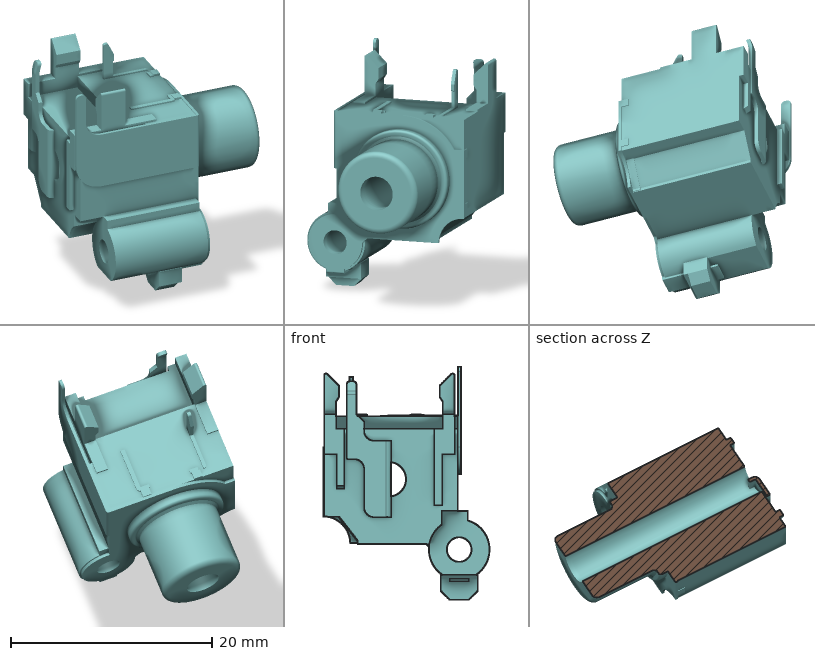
import cadquery as cq
import math


HOUSING_LEFT = -6.42
HOUSING_RIGHT = 6.87
HOUSING_TOP = 6.26
HOUSING_BOTTOM = -6.43
HOUSING_FRONT = -12.45
LEFT_SIDE_BOTTOM = -3.70
CHAMFER_TOP_X = -4.94
CHAMFER_END_X = -3.08
CHAMFER_END_Z = -6.09
STEP_Y = -7.63
LEDGE_Z = 4.99
SIDE_STEP_Y = -5.36

BARREL_R = 4.15
BARREL_END = 8.20
BARREL_END_FILLET = 0.55
FLANGE_R = 5.0
FLANGE_END = 1.22
FLANGE_FILLET = 0.25
BORE_R = 1.70

RAIL_WIDTH = 1.19
RAIL_CENTRE_X = 0.06
RAIL_TOP = 6.47
RAIL_BACK = -4.10
RAIL_FRONT = -12.94
RAIL_BOTTOM = 2.49
RIB_INNER = 2.02
RIB_OUTER = 1.25
LEFT_RIB_BOTTOM = -0.92
LEFT_RIB_SLOPE = 0.27
RIGHT_RIB_BOTTOM = -2.57
LATCH_BACK = -7.44
LATCH_FRONT = -10.02
LATCH_TOP = 10.50
LATCH_TIP_R = 0.20
LATCH_BARB = 1.50
BARB_BOTTOM = 8.17
LATCH_NECK_TOP = 7.70

SHEET = 0.30
SHELL_BEND_R = 0.28
SHELL_LEFT = -6.49
SHELL_TOP = 6.33
SHELL_BOTTOM = -6.35
SHELL_SHOULDER_Z = 3.20
CORNER_ARC_R = LEFT_SIDE_BOTTOM - SHELL_BOTTOM
CLIP_DEPTH = 0.78
CLIP_HEIGHT = 0.88
CLIP_TOPS = (SHELL_SHOULDER_Z, -2.29)
SIDE_BOTTOM = 0.52
SIDE_FRONT = -13.0
SIDE_CORNER_R = 2.70
PIN_BACK = -11.97
PIN_TOP = 11.17
PIN_TIP_FILLET = 0.45
PIN_ROOT_R = 1.65

SLEEVE_X = 6.99
SLEEVE_Z = -6.98
SLEEVE_R = 3.02
SLEEVE_HOLE_R = 1.21
SLEEVE_FRONT = -9.95
NECK_LEFT = 5.27
NECK_RIGHT = 7.84
NECK_TOP = -3.13
FOOT_HALF_WIDTH = 1.85
FOOT_TOP = -9.48
FOOT_SHOULDER = -11.10
FOOT_BOTTOM = -11.98
FOOT_BACK = -2.30
FOOT_TIP_BACK = -2.78
FOOT_FRONT = -4.81
EAR_R = 2.82
EAR_GUSSET = 0.55
STRAP_HALF_WIDTH = 0.93
STRAP_TOP = -9.88
STRAP_BOTTOM = -10.12
STRAP_FRONT = -5.58
STRAP_BEND_R = 0.15

CONTACT_FRONT = -13.0
CONTACT_THICK = 0.40
STEM_LEFT = -4.19
STEM_RIGHT = -3.20
STEM_TOP = 9.74
STEM_TIP_R = 0.35
STEM_BEND_Z = 8.60
STEM_LEAN = 0.28
STEM_BEND_R = 1.40
STEM_TAPER_Z = 6.47
BLADE_LEFT = -2.45
BLADE_RIGHT = 0.23
BLADE_TOP = 3.83
BLADE_BOTTOM = -3.76
BLADE_R = 0.98
ARM_BOTTOM = 2.00
BEND_R = 0.55
ARM_CORNER_R = 0.15

TOP_STRIP_Z = 6.42
TOP_TAB_FRONT = -0.75
TOP_TAB_WIDTH = 0.90
TOP_TAB_LEFTS = (-3.15, 2.28)
CROSS_FRONT = -1.11
STRIP_FRONT = -5.50
LEFT_STRIP = (-3.91, -3.55)
LEFT_CROSS = (-3.03, -2.16)
RIGHT_STRIP = (3.04, 3.48)
RIGHT_CROSS_LEFT = 2.14
STRIP_CORNER_R = 0.30
TOP_PIN_BACK = -4.52
TOP_PIN_BARB_BACK = -4.38
TOP_PIN_TOP = 10.17
TOP_PIN_TIP_BACK = -5.04
TOP_PIN_BARB = (8.09, 8.17, 8.82)
TOP_PIN_TIP_FILLET = 0.18

EMBED = 0.5


def box(x0, x1, y0, y1, z0, z1):
    return cq.Workplane("XY").box(x1 - x0, y1 - y0, z1 - z0, centered=False).translate((x0, y0, z0))


def face_xz(y_back):
    """Sketch plane in X and Z; extruding from it runs toward -Y."""
    return cq.Workplane("XZ", origin=(0, y_back, 0))


def face_yz(x_left):
    """Sketch plane in Y and Z; extruding from it runs toward +X."""
    return cq.Workplane("YZ", origin=(x_left, 0, 0))


def edge_at(x, y, z):
    """Selector for the edge whose centre is at the given point."""
    reach = 0.05
    return cq.selectors.BoxSelector((x - reach, y - reach, z - reach), (x + reach, y + reach, z + reach))


def make_housing():
    outline = [
        (HOUSING_LEFT, HOUSING_TOP),
        (HOUSING_RIGHT, HOUSING_TOP),
        (HOUSING_RIGHT, HOUSING_BOTTOM),
        (CHAMFER_END_X, HOUSING_BOTTOM),
        (CHAMFER_END_X, CHAMFER_END_Z),
        (CHAMFER_TOP_X, LEFT_SIDE_BOTTOM),
        (HOUSING_LEFT, LEFT_SIDE_BOTTOM),
    ]
    body = face_xz(0).polyline(outline).close().extrude(-HOUSING_FRONT)
    ledge = box(HOUSING_LEFT, HOUSING_RIGHT, HOUSING_FRONT, STEP_Y, LEDGE_Z, HOUSING_TOP)
    rail_outer = 2 * RAIL_CENTRE_X - HOUSING_LEFT
    side_ledge = box(rail_outer, HOUSING_RIGHT, HOUSING_FRONT, SIDE_STEP_Y, LEDGE_Z, HOUSING_TOP)
    return body.cut(ledge).cut(side_ledge).cut(sleeve_outline(-HOUSING_FRONT))


def make_barrel():
    flange = face_xz(FLANGE_END).circle(FLANGE_R).extrude(FLANGE_END)
    flange = flange.faces(">Y").edges().fillet(FLANGE_FILLET)
    barrel = face_xz(BARREL_END).circle(BARREL_R).extrude(BARREL_END)
    barrel = barrel.faces(">Y").edges().fillet(BARREL_END_FILLET)
    root = face_xz(FLANGE_END + FLANGE_FILLET).circle(BARREL_R).workplane(
        offset=FLANGE_FILLET).circle(BARREL_R + FLANGE_FILLET).loft()
    return flange.union(barrel).union(root)


def make_rail(rib_bottom, rib_slope):
    """Left rail with its front rib and snap latch."""
    outer = HOUSING_LEFT
    inner = outer + RAIL_WIDTH
    rail = box(outer, inner, RAIL_FRONT, RAIL_BACK, LEDGE_Z - EMBED, RAIL_TOP)
    pad = box(outer, outer + RIB_INNER, RAIL_FRONT, HOUSING_FRONT, RAIL_BOTTOM, LEDGE_Z)
    rib_outline = [
        (HOUSING_FRONT, LEDGE_Z),
        (RAIL_FRONT, LEDGE_Z),
        (RAIL_FRONT, rib_bottom + rib_slope),
        (HOUSING_FRONT, rib_bottom),
    ]
    rib = face_yz(outer + RIB_OUTER).polyline(rib_outline).close().extrude(RIB_INNER - RIB_OUTER)
    tip_rise = LATCH_TIP_R * math.sin(math.radians(45))
    tip_end = (outer + LATCH_TIP_R + tip_rise, LATCH_TOP - LATCH_TIP_R + tip_rise)
    barb_x = outer + LATCH_BARB
    latch = (
        face_xz(LATCH_BACK)
        .moveTo(outer, LEDGE_Z)
        .lineTo(outer, LATCH_TOP - LATCH_TIP_R)
        .radiusArc(tip_end, LATCH_TIP_R)
        .lineTo(barb_x, tip_end[1] - (barb_x - tip_end[0]))
        .lineTo(barb_x, BARB_BOTTOM)
        .lineTo(inner, LATCH_NECK_TOP)
        .lineTo(inner, LEDGE_Z)
        .close()
        .extrude(LATCH_BACK - LATCH_FRONT)
    )
    return rail.union(pad).union(rib).union(latch)


def make_rails():
    left = make_rail(LEFT_RIB_BOTTOM, LEFT_RIB_SLOPE)
    right = make_rail(RIGHT_RIB_BOTTOM, 0).mirror("YZ").translate((2 * RAIL_CENTRE_X, 0, 0))
    return left.union(right)


def make_back_plate():
    """Shell plate behind the housing: round upper left, concave lower left corner."""
    shoulder_x = -math.sqrt(SHELL_TOP ** 2 - SHELL_SHOULDER_Z ** 2)
    half = math.radians(45 + math.degrees(math.asin(SHELL_SHOULDER_Z / SHELL_TOP)) / 2)
    round_mid = (-SHELL_TOP * math.cos(half), SHELL_TOP * math.sin(half))
    plate = (
        face_xz(SHEET)
        .moveTo(SHELL_LEFT, SHELL_SHOULDER_Z)
        .lineTo(shoulder_x, SHELL_SHOULDER_Z)
        .threePointArc(round_mid, (0, SHELL_TOP))
        .lineTo(HOUSING_RIGHT, SHELL_TOP)
        .lineTo(HOUSING_RIGHT, SHELL_BOTTOM)
        .lineTo(SHELL_LEFT + CORNER_ARC_R, SHELL_BOTTOM)
        .radiusArc((SHELL_LEFT, SHELL_BOTTOM + CORNER_ARC_R), -CORNER_ARC_R)
        .close()
        .extrude(SHEET)
    )
    lift = HOUSING_LEFT - SHELL_LEFT
    chamfer_clip_outline = [
        (CHAMFER_TOP_X - lift, LEFT_SIDE_BOTTOM),
        (CHAMFER_END_X - lift, CHAMFER_END_Z),
        (CHAMFER_END_X - lift, SHELL_BOTTOM),
        (CHAMFER_END_X, SHELL_BOTTOM),
        (CHAMFER_END_X, LEFT_SIDE_BOTTOM),
    ]
    chamfer_clip = face_xz(SHEET).polyline(chamfer_clip_outline).close().extrude(SHEET + CLIP_DEPTH)
    plate = plate.union(chamfer_clip)
    for top in CLIP_TOPS:
        plate = plate.union(box(SHELL_LEFT, HOUSING_LEFT, -CLIP_DEPTH, SHEET, top - CLIP_HEIGHT, top))
    return plate


def make_side_plate():
    """Shell plate on the +X side, rising into a solder pin at the front."""
    plate = (
        face_yz(HOUSING_RIGHT)
        .moveTo(SHEET, SHELL_TOP)
        .lineTo(PIN_BACK + PIN_ROOT_R, SHELL_TOP)
        .radiusArc((PIN_BACK, SHELL_TOP + PIN_ROOT_R), PIN_ROOT_R)
        .lineTo(PIN_BACK, PIN_TOP)
        .lineTo(SIDE_FRONT, PIN_TOP)
        .lineTo(SIDE_FRONT, SIDE_BOTTOM + SIDE_CORNER_R)
        .radiusArc((SIDE_FRONT + SIDE_CORNER_R, SIDE_BOTTOM), -SIDE_CORNER_R)
        .lineTo(SHEET, SIDE_BOTTOM)
        .close()
        .extrude(SHEET)
    )
    plate = plate.faces(">Z").edges("|X").fillet(PIN_TIP_FILLET)
    return plate.edges("|Z and >X and >Y").fillet(SHELL_BEND_R)


def sleeve_outline(length):
    """Round sleeve with a square neck, running from the housing back toward -Y."""
    ring = face_xz(0).center(SLEEVE_X, SLEEVE_Z).circle(SLEEVE_R).extrude(length)
    neck = box(NECK_LEFT, NECK_RIGHT, -length, 0, SLEEVE_Z, NECK_TOP)
    return ring.union(neck)


def make_sleeve():
    sleeve = sleeve_outline(-SLEEVE_FRONT)
    flat = box(SLEEVE_X - SLEEVE_R, SLEEVE_X + SLEEVE_R, SLEEVE_FRONT, FOOT_BACK,
               SLEEVE_Z - SLEEVE_R, FOOT_TOP)
    sleeve = sleeve.cut(flat)
    left = SLEEVE_X - FOOT_HALF_WIDTH
    right = SLEEVE_X + FOOT_HALF_WIDTH
    foot = box(left, right, FOOT_FRONT, FOOT_BACK, FOOT_SHOULDER, FOOT_TOP)
    tip_outline = [
        (left, FOOT_SHOULDER),
        (right, FOOT_SHOULDER),
        (SLEEVE_X + STRAP_HALF_WIDTH, FOOT_BOTTOM),
        (SLEEVE_X - STRAP_HALF_WIDTH, FOOT_BOTTOM),
    ]
    tip = face_xz(FOOT_TIP_BACK).polyline(tip_outline).close().extrude(FOOT_TIP_BACK - FOOT_FRONT)
    return sleeve.union(foot).union(tip).union(make_ear())


def make_ear():
    """Shell ear behind the sleeve, with the strap folded forward through the foot."""
    ear = face_xz(SHEET).center(SLEEVE_X, SLEEVE_Z).circle(EAR_R).extrude(SHEET)
    ear_left = SLEEVE_X - EAR_R
    gusset_outline = [
        (ear_left - EAR_GUSSET, SHELL_BOTTOM),
        (ear_left + EAR_GUSSET, SHELL_BOTTOM),
        (ear_left + EAR_GUSSET, SHELL_BOTTOM - 2 * EAR_GUSSET),
    ]
    gusset = face_xz(SHEET).polyline(gusset_outline).close().extrude(SHEET)
    strap_left = SLEEVE_X - STRAP_HALF_WIDTH
    strap_right = SLEEVE_X + STRAP_HALF_WIDTH
    drop = box(strap_left, strap_right, 0, SHEET, STRAP_BOTTOM, SLEEVE_Z)
    strap = box(strap_left, strap_right, STRAP_FRONT, SHEET, STRAP_BOTTOM, STRAP_TOP)
    folded = drop.union(strap).edges("|X and >Y and <Z").fillet(STRAP_BEND_R)
    return ear.union(gusset).union(folded)


def make_front_contact():
    contact_back = CONTACT_FRONT + CONTACT_THICK
    outline = (
        face_xz(HOUSING_FRONT + EMBED)
        .moveTo(STEM_LEFT, STEM_TOP - STEM_TIP_R)
        .radiusArc((STEM_LEFT + STEM_TIP_R, STEM_TOP), STEM_TIP_R)
        .lineTo(STEM_RIGHT - STEM_TIP_R, STEM_TOP)
        .radiusArc((STEM_RIGHT, STEM_TOP - STEM_TIP_R), STEM_TIP_R)
        .lineTo(STEM_RIGHT, STEM_TAPER_Z)
        .lineTo(BLADE_LEFT, STEM_TAPER_Z - (BLADE_LEFT - STEM_RIGHT))
        .lineTo(BLADE_LEFT, BLADE_TOP + BLADE_R)
        .radiusArc((BLADE_LEFT + BLADE_R, BLADE_TOP), -BLADE_R)
        .lineTo(BLADE_RIGHT, BLADE_TOP)
        .lineTo(BLADE_RIGHT, BLADE_BOTTOM)
        .lineTo(BLADE_LEFT + BLADE_R, BLADE_BOTTOM)
        .radiusArc((BLADE_LEFT, BLADE_BOTTOM + BLADE_R), BLADE_R)
        .lineTo(BLADE_LEFT, ARM_BOTTOM - BLADE_R)
        .radiusArc((BLADE_LEFT - BLADE_R, ARM_BOTTOM), -BLADE_R)
        .lineTo(STEM_LEFT + ARM_CORNER_R, ARM_BOTTOM)
        .radiusArc((STEM_LEFT, ARM_BOTTOM + ARM_CORNER_R), ARM_CORNER_R)
        .close()
        .extrude(HOUSING_FRONT + EMBED - CONTACT_FRONT)
    )
    stem_section = [
        (CONTACT_FRONT, BLADE_BOTTOM),
        (CONTACT_FRONT, STEM_BEND_Z),
        (CONTACT_FRONT + STEM_LEAN, STEM_TOP),
        (contact_back + STEM_LEAN, STEM_TOP),
        (contact_back, STEM_BEND_Z),
        (contact_back, BLADE_BOTTOM),
    ]
    sheet = face_yz(STEM_LEFT).polyline(stem_section).close().extrude(BLADE_RIGHT - STEM_LEFT)
    middle_x = (STEM_LEFT + BLADE_RIGHT) / 2
    sheet = sheet.edges(edge_at(middle_x, CONTACT_FRONT, STEM_BEND_Z)).fillet(STEM_BEND_R)
    sheet = sheet.edges(edge_at(middle_x, contact_back, STEM_BEND_Z)).fillet(STEM_BEND_R - CONTACT_THICK)
    leg = box(BLADE_RIGHT - CONTACT_THICK, BLADE_RIGHT, CONTACT_FRONT, HOUSING_FRONT + EMBED,
              BLADE_BOTTOM, BLADE_TOP)
    inner_x = BLADE_RIGHT - CONTACT_THICK
    middle_z = (BLADE_BOTTOM + BLADE_TOP) / 2
    folded = sheet.union(leg).edges(edge_at(inner_x, contact_back, middle_z)).fillet(BEND_R - CONTACT_THICK)
    bend_cut = (
        cq.Workplane("XY", origin=(0, 0, BLADE_BOTTOM))
        .moveTo(BLADE_RIGHT - BEND_R, CONTACT_FRONT)
        .radiusArc((BLADE_RIGHT, CONTACT_FRONT + BEND_R), -BEND_R)
        .lineTo(BLADE_RIGHT, CONTACT_FRONT)
        .close()
        .extrude(BLADE_TOP - BLADE_BOTTOM)
    )
    return outline.intersect(folded).cut(bend_cut)


def make_top_contacts():
    base = HOUSING_TOP - EMBED
    tabs = cq.Workplane("XY")
    for left in TOP_TAB_LEFTS:
        tabs = tabs.union(box(left, left + TOP_TAB_WIDTH, TOP_TAB_FRONT, 0, base, RAIL_TOP))
    left_strip = box(*LEFT_STRIP, STRIP_FRONT, TOP_TAB_FRONT, base, TOP_STRIP_Z)
    left_strip = left_strip.edges("|Z and <X and >Y").fillet(STRIP_CORNER_R)
    left_cross = box(*LEFT_CROSS, CROSS_FRONT, TOP_TAB_FRONT, base, TOP_STRIP_Z)
    right_strip = box(*RIGHT_STRIP, STRIP_FRONT, TOP_TAB_FRONT, base, TOP_STRIP_Z)
    right_cross = box(RIGHT_CROSS_LEFT, RIGHT_STRIP[1], CROSS_FRONT, TOP_TAB_FRONT, base, TOP_STRIP_Z)
    right_strip = right_strip.union(right_cross).edges("|Z and >X and >Y").fillet(STRIP_CORNER_R)
    neck_top, barb_bottom, barb_top = TOP_PIN_BARB
    pin_outline = [
        (STRIP_FRONT, base),
        (STRIP_FRONT, TOP_PIN_TOP),
        (TOP_PIN_TIP_BACK, TOP_PIN_TOP),
        (TOP_PIN_BARB_BACK, barb_top),
        (TOP_PIN_BARB_BACK, barb_bottom),
        (TOP_PIN_BACK, neck_top),
        (TOP_PIN_BACK, base),
    ]
    pin = face_yz(LEFT_STRIP[0]).polyline(pin_outline).close().extrude(LEFT_STRIP[1] - LEFT_STRIP[0])
    pin = pin.faces(">Z").edges("|X").fillet(TOP_PIN_TIP_FILLET)
    return tabs.union(left_strip).union(left_cross).union(right_strip).union(pin)


def make_bores():
    reach = BARREL_END - HOUSING_FRONT
    signal = face_xz(BARREL_END).circle(BORE_R).extrude(reach)
    ground = face_xz(SHEET).center(SLEEVE_X, SLEEVE_Z).circle(SLEEVE_HOLE_R).extrude(reach)
    return signal.union(ground)


result = (
    make_housing()
    .union(make_barrel())
    .union(make_rails())
    .union(make_back_plate())
    .union(make_side_plate())
    .union(make_sleeve())
    .union(make_top_contacts())
    .cut(make_bores())
    .union(make_front_contact())
)